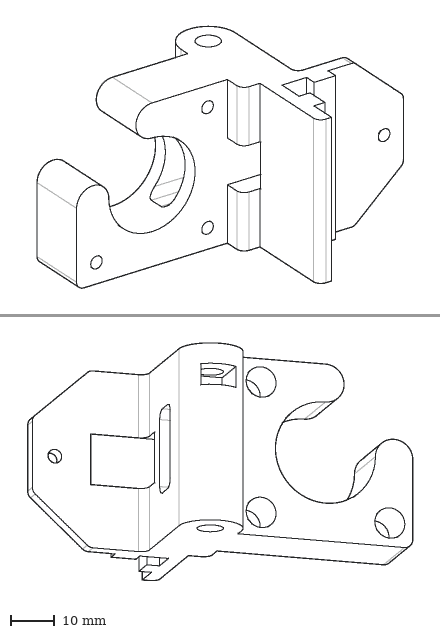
import cadquery as cq
import math

height = 42.0
half_height = height / 2
total_length = 84.5
total_width = 55.5
corner_radius = 2.0
margin = 0.85

arm_width = 16.0
arm_left = 10.1
arm_right = arm_left + arm_width
bore_radius = 12.0
lobe_radius = (half_height - bore_radius) / 2
lobe_center = bore_radius + lobe_radius
screw_offset = 15.5
screw_diameter = 3.2
screw_head_diameter = 7.2
screw_head_depth = 12.0

hinge_radius = 7.5
hinge_hole_diameter = 6.0
block_front = half_height
block_back = block_front + 2 * hinge_radius
hinge_y = block_front + hinge_radius
block_right = 31.9
nut_slot_width = 8.4
nut_slot_height = 5.0
nut_slot_bottom = 11.15
nut_slot_depth = hinge_radius + nut_slot_width / 2

plate_thickness = 3.6
plate_inner_x = block_right + plate_thickness
side_plate_front = 26.0
side_plate_back = side_plate_front + plate_thickness
plate_end = total_length - half_height
bevel_length = 13.8
bevel_height = 12.25
rib_offset = 6.85
rib_width = 6.0
rib_depth = 3.0
plate_hole_inset = 5.4

channel_width = 7.95
channel_height = 19.9
window_height = 12.0
window_end = 49.4
window_plate_depth = 0.25


def box(x_range, y_range, z_range):
    """Box between pairs of limits along each axis."""
    sizes = [high - low for low, high in (x_range, y_range, z_range)]
    return cq.Workplane("XY").box(*sizes, centered=False).translate((x_range[0], y_range[0], z_range[0]))


def full_height_box(x_range, y_range):
    return box(x_range, y_range, (-half_height, half_height))


def rod_along_x(diameter, y, z, start, length):
    return cq.Workplane("YZ", origin=(start, y, z)).circle(diameter / 2).extrude(length)


def make_arm():
    """Square arm, bored and left open between two rounded lobes."""
    mid = bore_radius * math.sqrt(0.5)
    profile = (
        cq.Workplane("YZ", origin=(arm_left, 0, 0))
        .moveTo(block_front, -half_height)
        .lineTo(block_front, half_height)
        .lineTo(0, half_height)
        .threePointArc((-lobe_radius, lobe_center), (0, bore_radius))
        .threePointArc((mid, mid), (bore_radius, 0))
        .threePointArc((0, -bore_radius), (-bore_radius, 0))
        .threePointArc((-lobe_center, lobe_radius), (-half_height, 0))
        .lineTo(-half_height, corner_radius - half_height)
        .radiusArc((corner_radius - half_height, -half_height), -corner_radius)
        .close()
    )
    return profile.extrude(arm_width)


def make_block():
    """Hinge block with a half-round end."""
    block = full_height_box((hinge_radius, block_right), (block_front, block_back))
    block = block.edges("|Z and >X and <Y").fillet(corner_radius)
    barrel = cq.Workplane("XY", origin=(hinge_radius, hinge_y, -half_height)).circle(hinge_radius).extrude(height)
    return block.union(barrel)


def make_end_plate():
    """Plate running along Y, bevelled toward its far end."""
    bevel_start = plate_end - bevel_length
    end_half_height = half_height - bevel_height
    plate = (
        cq.Workplane("YZ", origin=(block_right, 0, 0))
        .polyline([
            (side_plate_front, -half_height),
            (bevel_start, -half_height),
            (plate_end, -end_half_height),
            (plate_end, end_half_height),
            (bevel_start, half_height),
            (side_plate_front, half_height),
        ])
        .close()
        .extrude(plate_thickness)
    )
    return plate.edges("|X and (not <Y)").fillet(corner_radius)


def make_side_plate():
    plate = full_height_box((block_right, total_width), (side_plate_front, side_plate_back))
    return plate.edges("|Z and >X and <Y").fillet(corner_radius)


def make_ribs():
    """One full-height rib on the inner face of each plate."""
    end_rib_y = side_plate_back + rib_offset
    side_rib_x = plate_inner_x + rib_offset
    end_rib = full_height_box((plate_inner_x, plate_inner_x + rib_depth), (end_rib_y, end_rib_y + rib_width))
    side_rib = full_height_box((side_rib_x, side_rib_x + rib_width), (side_plate_back, side_plate_back + rib_depth))
    return end_rib.union(side_rib)


def make_inner_fillet():
    """Concave blend between the block's back face and the end plate."""
    blend = full_height_box((block_right - corner_radius, block_right), (block_back, block_back + corner_radius))
    round_cut = (
        cq.Workplane("XY", origin=(block_right - corner_radius, block_back + corner_radius, -half_height))
        .circle(corner_radius)
        .extrude(height)
    )
    return blend.cut(round_cut)


def cut_screw_holes(body):
    """Three counterbored holes through the arm and one plain hole in the end plate."""
    for y, z in ((screw_offset, screw_offset), (screw_offset, -screw_offset), (-screw_offset, -screw_offset)):
        body = body.cut(rod_along_x(screw_diameter, y, z, arm_left, arm_width))
        body = body.cut(rod_along_x(screw_head_diameter, y, z, arm_left, screw_head_depth))
    return body.cut(rod_along_x(screw_diameter, plate_end - plate_hole_inset, 0, block_right, plate_thickness))


def cut_hinge(body):
    """Vertical hinge hole and the nut slot reaching it from the side."""
    hole = cq.Workplane("XY", origin=(hinge_radius, hinge_y, -half_height))
    hole = hole.circle(hinge_hole_diameter / 2).extrude(height)
    nut_slot = box(
        (-margin, nut_slot_depth),
        (hinge_y - nut_slot_width / 2, hinge_y + nut_slot_width / 2),
        (nut_slot_bottom, nut_slot_bottom + nut_slot_height),
    )
    return body.cut(hole).cut(nut_slot)


def cut_passages(body):
    """Rounded channel from the bore and a window beside the arm, both through the block along Y."""
    arm_center = (arm_left + arm_right) / 2
    channel = box(
        (arm_center - channel_width / 2, arm_center + channel_width / 2),
        (0, block_back + margin),
        (-channel_height / 2, channel_height / 2),
    ).edges("|Y").fillet(corner_radius)
    window = box(
        (arm_right, block_right + window_plate_depth),
        (block_front - margin, window_end),
        (-window_height / 2, window_height / 2),
    )
    return body.cut(channel).cut(window)


body = make_block().union(make_arm()).union(make_end_plate()).union(make_side_plate())
body = body.union(make_ribs()).union(make_inner_fillet())
result = cut_passages(cut_hinge(cut_screw_holes(body)))